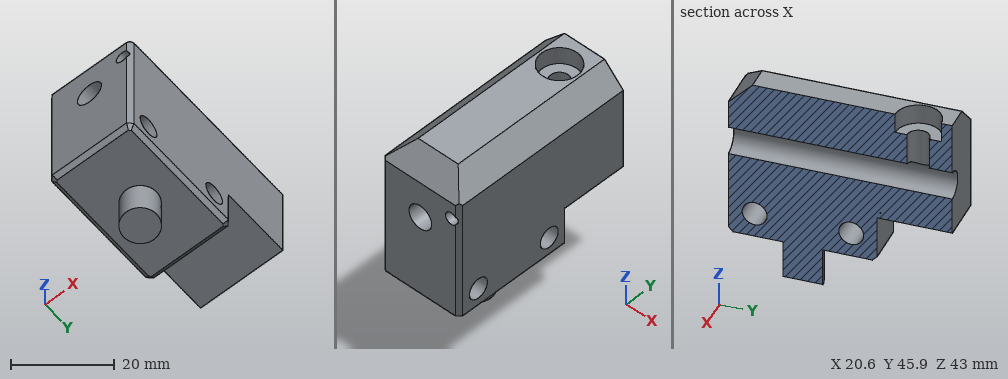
import cadquery as cq

width = 20.6
length = 45.92
height = 35.0
top_bevel = 5.0
edge_chamfer = 1.0

foot_length = 30.5
rear_height = 25.0

pin_diameter = 8.2
pin_length = 8.0
pin_y = 15.3

cross_hole_diameter = 5.0
cross_hole_spacing = 19.8
cross_hole_z = -29.75

bore_diameter = 6.0
bore_z = -14.0

small_hole_diameter = 3.0
small_hole_depth = 5.0
small_hole_x = 8.2
small_hole_z = -9.1

counterbore_diameter = 9.36
counterbore_depth = 4.2
top_hole_diameter = 4.5
top_hole_y = length - 7.0


def make_block():
    """Stepped block with a bevelled top and chamfered front and foot edges."""
    upper = cq.Workplane("XY").box(width, length, rear_height, centered=(True, False, False))
    upper = upper.translate((0, 0, -rear_height))
    upper = upper.edges("|Z and <Y").chamfer(edge_chamfer)

    foot = cq.Workplane("XY").box(width, foot_length, height, centered=(True, False, False))
    foot = foot.translate((0, 0, -height))
    foot = foot.edges("|Z").chamfer(edge_chamfer)
    foot = foot.faces("<Z").chamfer(edge_chamfer)

    return upper.union(foot).cut(make_side_bevels()).cut(make_front_bevel())


def make_side_bevels():
    """Triangular prisms that slope the two long top edges."""
    half_width = width / 2
    bevels = cq.Workplane("XZ")
    for side in (-1, 1):
        bevels = bevels.polyline([
            (side * half_width, 0),
            (side * (half_width - top_bevel), 0),
            (side * half_width, -top_bevel),
        ]).close()
    return bevels.extrude(-length)


def make_front_bevel():
    """Triangular prism that slopes the front top edge."""
    return (
        cq.Workplane("YZ")
        .polyline([(0, 0), (top_bevel, 0), (0, -top_bevel)])
        .close()
        .extrude(width / 2, both=True)
    )


def make_pin():
    """Round pin hanging from the underside of the foot."""
    return (
        cq.Workplane("XY", origin=(0, pin_y, -height))
        .circle(pin_diameter / 2)
        .extrude(-pin_length)
    )


def make_cross_holes():
    """Pair of holes across the foot."""
    return (
        cq.Workplane("YZ", origin=(0, pin_y, cross_hole_z))
        .rarray(cross_hole_spacing, 1, 2, 1)
        .circle(cross_hole_diameter / 2)
        .extrude(width / 2, both=True)
    )


def make_front_hole(diameter, depth, x, z):
    """Hole running back from the front face."""
    return cq.Workplane("XZ", origin=(x, 0, z)).circle(diameter / 2).extrude(-depth)


def make_top_hole():
    """Counterbored hole ending on the axis of the long bore."""
    top = cq.Workplane("XY", origin=(0, top_hole_y, 0))
    counterbore = top.circle(counterbore_diameter / 2).extrude(-counterbore_depth)
    shaft = top.circle(top_hole_diameter / 2).extrude(bore_z)
    return counterbore.union(shaft)


long_bore = make_front_hole(bore_diameter, length, 0, bore_z)
small_hole = make_front_hole(small_hole_diameter, small_hole_depth, small_hole_x, small_hole_z)

result = (
    make_block()
    .union(make_pin())
    .cut(make_cross_holes())
    .cut(long_bore)
    .cut(small_hole)
    .cut(make_top_hole())
)